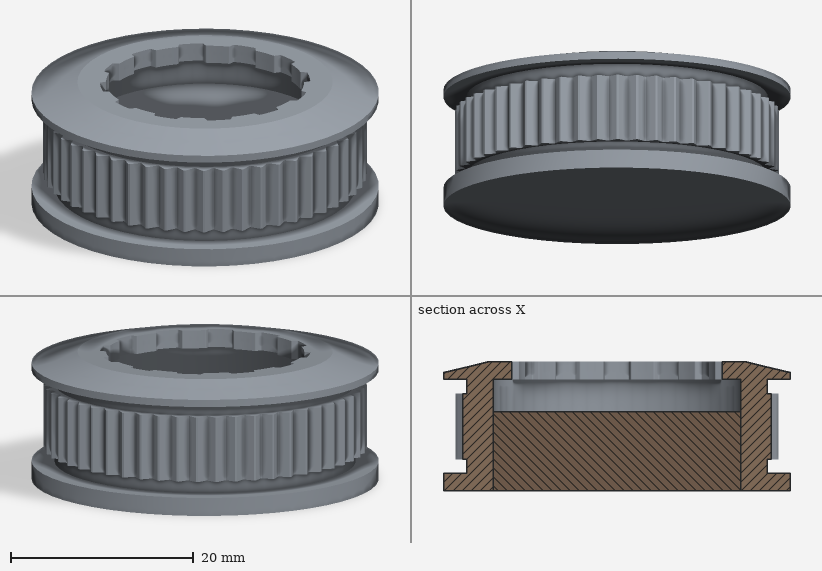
import cadquery as cq
import math

BASE_FLANGE_HEIGHT = 2.0
NECK_HEIGHT = 1.5
TOOTH_HEIGHT = 7.22
RIM_HEIGHT = 0.8
CONE_HEIGHT = 1.2

FLANGE_DIAMETER = 38.0
NECK_DIAMETER = 33.0
CONE_TOP_DIAMETER = 27.93

TOOTH_COUNT = 52
TOOTH_TIP_RADIUS = 17.7
TOOTH_ROOT_RADIUS = 16.9
TOOTH_TIP_WIDTH = 0.23
TOOTH_ROOT_WIDTH = 0.15

SPLINE_COUNT = 12
SPLINE_DEPTH = 2.0
SPLINE_LAND_RADIUS = 10.83
SPLINE_NOTCH_RADIUS = 11.5
NOTCH_MOUTH_WIDTH = 3.05
NOTCH_FLOOR_WIDTH = 2.62
NOTCH_FILLET = 0.15

BORE_DIAMETER = 27.0
PLUG_HEIGHT = 8.7

LOWER_NECK_LEVEL = BASE_FLANGE_HEIGHT
TOOTH_LEVEL = LOWER_NECK_LEVEL + NECK_HEIGHT
UPPER_NECK_LEVEL = TOOTH_LEVEL + TOOTH_HEIGHT
RIM_LEVEL = UPPER_NECK_LEVEL + NECK_HEIGHT
CONE_LEVEL = RIM_LEVEL + RIM_HEIGHT
TOP_LEVEL = CONE_LEVEL + CONE_HEIGHT
SPLINE_LEVEL = TOP_LEVEL - SPLINE_DEPTH


def polar_point(radius, angle):
    """Point at a radius and an angle in radians about the pulley axis."""
    return (radius * math.cos(angle), radius * math.sin(angle))


def cylinder(diameter, height, level):
    """Upright cylinder on the pulley axis, standing at a level."""
    return cq.Workplane("XY").workplane(offset=level).circle(diameter / 2).extrude(height)


def make_toothed_ring():
    """Solid gear-like section; a gap between teeth is centred on +X."""
    pitch = 2 * math.pi / TOOTH_COUNT
    half_root = TOOTH_ROOT_WIDTH / 2 / TOOTH_ROOT_RADIUS
    half_tip = TOOTH_TIP_WIDTH / 2 / TOOTH_TIP_RADIUS
    outline = []
    for index in range(TOOTH_COUNT):
        gap_angle = index * pitch
        tip_angle = gap_angle + pitch / 2
        outline.append(polar_point(TOOTH_ROOT_RADIUS, gap_angle - half_root))
        outline.append(polar_point(TOOTH_ROOT_RADIUS, gap_angle + half_root))
        outline.append(polar_point(TOOTH_TIP_RADIUS, tip_angle - half_tip))
        outline.append(polar_point(TOOTH_TIP_RADIUS, tip_angle + half_tip))
    return cq.Workplane("XY").workplane(offset=TOOTH_LEVEL).polyline(outline).close().extrude(TOOTH_HEIGHT)


def make_top_flange():
    """Straight rim with a shallow cone on it, ending in a flat top."""
    profile = [
        (0, RIM_LEVEL),
        (FLANGE_DIAMETER / 2, RIM_LEVEL),
        (FLANGE_DIAMETER / 2, CONE_LEVEL),
        (CONE_TOP_DIAMETER / 2, TOP_LEVEL),
        (0, TOP_LEVEL),
    ]
    return cq.Workplane("XZ").polyline(profile).close().revolve(360, (0, 0), (0, 1))


def make_spline_opening():
    """Cutting shape of the splined opening, a notch centred on +X."""
    pitch = 2 * math.pi / SPLINE_COUNT
    half_mouth = math.asin(NOTCH_MOUTH_WIDTH / 2 / SPLINE_LAND_RADIUS)
    half_floor = math.asin(NOTCH_FLOOR_WIDTH / 2 / SPLINE_NOTCH_RADIUS)
    opening = cq.Workplane("XY").workplane(offset=SPLINE_LEVEL)
    opening = opening.moveTo(*polar_point(SPLINE_LAND_RADIUS, -half_mouth))
    for index in range(SPLINE_COUNT):
        angle = index * pitch
        opening = opening.lineTo(*polar_point(SPLINE_NOTCH_RADIUS, angle - half_floor))
        opening = opening.threePointArc(
            polar_point(SPLINE_NOTCH_RADIUS, angle),
            polar_point(SPLINE_NOTCH_RADIUS, angle + half_floor),
        )
        opening = opening.lineTo(*polar_point(SPLINE_LAND_RADIUS, angle + half_mouth))
        opening = opening.threePointArc(
            polar_point(SPLINE_LAND_RADIUS, angle + pitch / 2),
            polar_point(SPLINE_LAND_RADIUS, angle + pitch - half_mouth),
        )
    return opening.close().extrude(SPLINE_DEPTH).edges("|Z").fillet(NOTCH_FILLET)


def make_pulley():
    """Flanged belt pulley with a plain bore under a splined opening."""
    pulley = cylinder(FLANGE_DIAMETER, BASE_FLANGE_HEIGHT, 0)
    pulley = pulley.union(cylinder(NECK_DIAMETER, NECK_HEIGHT, LOWER_NECK_LEVEL))
    pulley = pulley.union(make_toothed_ring())
    pulley = pulley.union(cylinder(NECK_DIAMETER, NECK_HEIGHT, UPPER_NECK_LEVEL))
    pulley = pulley.union(make_top_flange())
    pulley = pulley.cut(cylinder(BORE_DIAMETER, SPLINE_LEVEL, 0))
    return pulley.cut(make_spline_opening())


def make_plug():
    """Round plug filling the lower part of the bore, flush with the base."""
    return cylinder(BORE_DIAMETER, PLUG_HEIGHT, 0)


pulley = make_pulley()
plug = make_plug()
result = cq.Compound.makeCompound([pulley.val(), plug.val()])